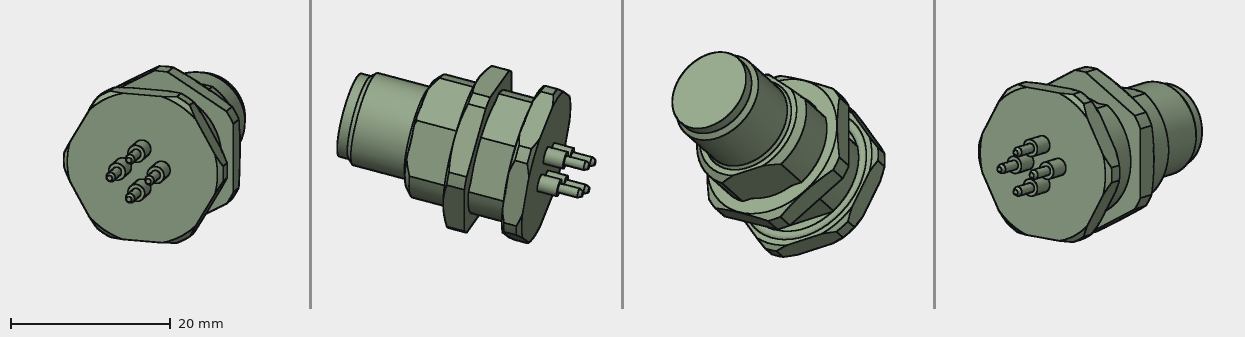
import cadquery as cq
import math


pin_end_y = -5.62
sleeve_end_y = -2.55
flange_front_y = 2.65
seal_front_y = 2.92
nut_rear_y = 7.65
nut_front_y = 10.5
body_front_y = 16.3
total_length = 31.4
plug_front_y = pin_end_y + total_length

across_flats = 19.05
flange_diameter = 20.98
flange_bevel_radial = 0.63
flange_bevel_axial = 0.5
nut_diameter = 21.05
nut_bevel_radial = 1.05
nut_bevel_axial = 0.5
nut_bore_diameter = 14.63

seal_section_diameter = 1.5
seal_center_radius = 8.48

body_diameter = 16.0
body_bevel_radial = 0.9
body_bevel_axial = 0.85
flat_distance = 6.75
flat_angles = (90, 135, 270)

plug_diameter = 12.0
plug_root_diameter = 12.62
plug_root_length = 0.45
nose_diameter = 10.8
nose_length = 1.35
nose_bevel_length = 0.65

pin_count = 4
pin_circle_radius = 2.55
sleeve_diameter = 2.2
pin_diameter = 1.2
pin_tip_diameter = 0.7
pin_tip_length = 0.5


def turned(profile):
    """Solid of revolution about Y from (radius, y) points; the axis closes the profile."""
    first_y = profile[0][1]
    last_y = profile[-1][1]
    points = [(0, first_y)] + profile + [(0, last_y)]
    return cq.Workplane("XY").polyline(points).close().revolve(360, (0, 0, 0), (0, 1, 0))


def hexagon(rear_y, front_y, turn):
    """Hexagonal prism along Y; a corner points to +X when turn is 0 degrees."""
    across_corners = across_flats / math.cos(math.radians(30))
    prism = cq.Workplane("XZ").polygon(6, across_corners).extrude(rear_y - front_y)
    return prism.rotate((0, 0, 0), (0, 1, 0), turn).translate((0, rear_y, 0))


def make_flange():
    radius = flange_diameter / 2
    face_radius = radius - flange_bevel_radial
    envelope = turned([
        (face_radius, 0),
        (radius, flange_bevel_axial),
        (radius, flange_front_y - flange_bevel_axial),
        (face_radius, flange_front_y),
    ])
    return hexagon(0, flange_front_y, 0).intersect(envelope)


def make_nut():
    radius = nut_diameter / 2
    envelope = turned([
        (radius, nut_rear_y),
        (radius, nut_front_y - nut_bevel_axial),
        (radius - nut_bevel_radial, nut_front_y),
    ])
    bore_radius = nut_bore_diameter / 2
    bore = turned([(bore_radius, nut_rear_y), (bore_radius, nut_front_y)])
    return hexagon(nut_rear_y, nut_front_y, 30).intersect(envelope).cut(bore)


def make_seal():
    section_radius = seal_section_diameter / 2
    section = cq.Workplane("XY").center(seal_center_radius, seal_front_y - section_radius)
    section = section.circle(section_radius)
    return section.revolve(360, (-seal_center_radius, 0, 0), (-seal_center_radius, 1, 0))


def make_body():
    radius = body_diameter / 2
    body = turned([
        (radius, flange_front_y),
        (radius, body_front_y - body_bevel_axial),
        (radius - body_bevel_radial, body_front_y),
    ])
    for angle in flat_angles:
        cutter = cq.Workplane("XY").box(
            body_diameter, total_length, body_diameter, centered=(False, True, True)
        )
        cutter = cutter.translate((flat_distance, body_front_y / 2, 0))
        body = body.cut(cutter.rotate((0, 0, 0), (0, 1, 0), -angle))
    return body


def make_plug():
    radius = plug_diameter / 2
    nose_radius = nose_diameter / 2
    nose_rear_y = plug_front_y - nose_length
    return turned([
        (plug_root_diameter / 2, body_front_y),
        (radius, body_front_y + plug_root_length),
        (radius, nose_rear_y - nose_bevel_length),
        (nose_radius, nose_rear_y),
        (nose_radius, plug_front_y),
    ])


def make_pin(angle):
    radius = pin_diameter / 2
    pin = turned([
        (pin_tip_diameter / 2, pin_end_y),
        (radius, pin_end_y + pin_tip_length),
        (radius, sleeve_end_y),
        (sleeve_diameter / 2, sleeve_end_y),
        (sleeve_diameter / 2, 0),
    ])
    return pin.translate((pin_circle_radius, 0, 0)).rotate((0, 0, 0), (0, 1, 0), angle)


result = make_flange().union(make_seal()).union(make_body()).union(make_nut()).union(make_plug())
for index in range(pin_count):
    result = result.union(make_pin(index * 360 / pin_count))